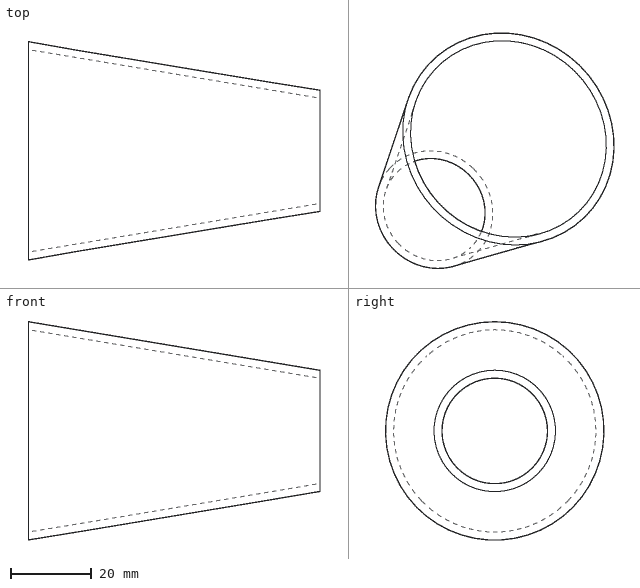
import cadquery as cq

length = 72.0
wide_outer_diameter = 54.0
narrow_outer_diameter = 30.0
radial_wall = 2.0

wide_outer_radius = wide_outer_diameter / 2
narrow_outer_radius = narrow_outer_diameter / 2


def make_tapered_tube():
    """Revolve the sloping wall section, drawn in the XZ plane, around the X axis."""
    wall_section = (
        cq.Workplane("XZ")
        .moveTo(0, wide_outer_radius - radial_wall)
        .lineTo(0, wide_outer_radius)
        .lineTo(length, narrow_outer_radius)
        .lineTo(length, narrow_outer_radius - radial_wall)
        .close()
    )
    return wall_section.revolve(360, (0, 0, 0), (1, 0, 0))


result = make_tapered_tube()